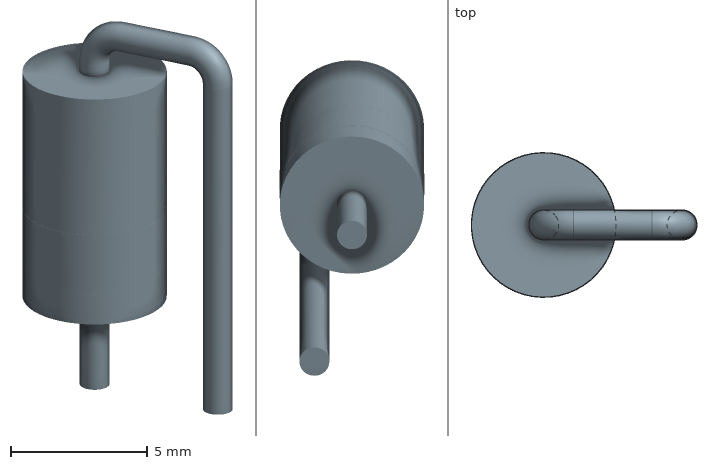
import cadquery as cq

total_height = 14.65
wire_diameter = 1.1
lead_pitch = 5.08
bend_radius = wire_diameter

body_diameter = 5.3
band_diameter = 5.32
body_bottom = 3.52
body_height = 9.0
band_bottom = 4.85
band_height = 2.24

wire_top = total_height - wire_diameter / 2
bend_start = wire_top - bend_radius
body_middle = body_bottom + body_height / 2


def cylinder(diameter, bottom, height):
    """Upright cylinder on the body axis."""
    return cq.Workplane("XY").workplane(offset=bottom).circle(diameter / 2).extrude(height)


def bent_lead():
    """Wire that leaves the body upward, bends over and runs down beside it."""
    path = (
        cq.Workplane("XZ")
        .moveTo(0, body_middle)
        .lineTo(0, bend_start)
        .tangentArcPoint((bend_radius, wire_top), relative=False)
        .lineTo(lead_pitch - bend_radius, wire_top)
        .tangentArcPoint((lead_pitch, bend_start), relative=False)
        .lineTo(lead_pitch, 0)
    )
    section = cq.Workplane("XY").workplane(offset=body_middle).circle(wire_diameter / 2)
    return section.sweep(path)


body = cylinder(body_diameter, body_bottom, body_height)
band = cylinder(band_diameter, band_bottom, band_height)
straight_lead = cylinder(wire_diameter, 0, body_middle)

result = body.union(band).union(straight_lead).union(bent_lead())